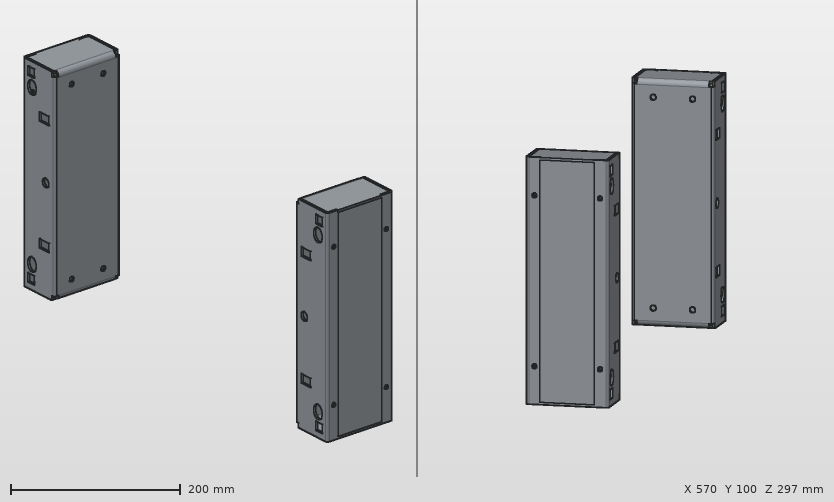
import cadquery as cq

span = 570.0
depth = 100.0
height = 297.0

width = 59.0
sheet = 3.0
side_bend = 3.5
end_bend = 7.0
seam = 0.3
lip_width = 17.0

relief_x = 5.0
relief_y = 6.0
relief_z = 6.0

lip_hole = 5.5
panel_hole = 4.0
screw_y = 40.0
screw_z = 102.5

web_hole = 7.0
web_hole_y = 24.0
web_hole_z = 126.5

square = 12.0
square_x = 15.5
square_end = 14.0
oval_width = 16.0
oval_height = 19.5
oval_x = 17.0
oval_end = 33.5
slot_width = 17.5
slot_height = 12.0
slot_x = 40.0
slot_end = 66.0
centre_hole = 12.0
centre_hole_x = 43.0

lip_x = -span / 2
web_x = lip_x + width
half_y = depth / 2
half_z = height / 2
mouth_y = half_y - lip_width
end_y = half_y - sheet - seam


def block(x_range, y_range, z_range):
    """Box between two limits along each axis."""
    (x0, x1), (y0, y1), (z0, z1) = x_range, y_range, z_range
    return cq.Workplane("XY").box(x1 - x0, y1 - y0, z1 - z0, centered=False).translate((x0, y0, z0))


def centred_block(x_range, y, z):
    """Box that reaches from -y to y and from -z to z."""
    return block(x_range, (-y, y), (-z, z))


def mirrored_copies(corner):
    """The given +Y, +Z corner solid and its copies in the other three corners."""
    pair = corner.union(corner.mirror("XZ"))
    return pair.union(pair.mirror("XY"))


def four_holes(x, y, z, diameter):
    """Cutters along X at the four points (+-y, +-z)."""
    points = [(sy * y, sz * z) for sy in (-1, 1) for sz in (-1, 1)]
    return (
        cq.Workplane("YZ", origin=(x, 0, 0))
        .pushPoints(points)
        .circle(diameter / 2)
        .extrude(2 * sheet, both=True)
    )


def folded_section():
    """Web, front and back walls and lips, bent from one sheet, with the end bends' profile at the web."""
    outside = centred_block((lip_x, web_x), half_y, half_z).edges("|Z").fillet(side_bend)
    inside = centred_block((lip_x + sheet, web_x - sheet), half_y - sheet, half_z)
    inside = inside.edges("|Z").fillet(side_bend - sheet)
    mouth = centred_block((lip_x, lip_x + sheet), mouth_y, half_z)
    profile = centred_block((lip_x, web_x), half_y, half_z).edges("|Y and >X").fillet(end_bend)
    return outside.cut(inside).cut(mouth).intersect(profile)


def end_flanges():
    """Top and bottom flanges bent from the web, notched around the lips."""
    outside = centred_block((lip_x, web_x), end_y, half_z).edges("|Y and >X").fillet(end_bend)
    inside = centred_block((lip_x, web_x - sheet), end_y, half_z - sheet)
    inside = inside.edges("|Y and >X").fillet(end_bend - sheet)
    lip_notch = block((lip_x, lip_x + sheet + seam), (mouth_y, half_y), (half_z - sheet, half_z))
    return outside.cut(inside).cut(mirrored_copies(lip_notch))


def corner_reliefs():
    corner = block(
        (web_x - relief_x, web_x),
        (half_y - relief_y, half_y),
        (half_z - relief_z, half_z),
    )
    return mirrored_copies(corner)


def wall_openings():
    """Cutters along Y through both walls."""

    def at(x, z):
        return cq.Workplane("XZ", origin=(lip_x + x, 0, z))

    profiles = [at(centre_hole_x, 0).circle(centre_hole / 2)]
    for side in (-1, 1):
        profiles += [
            at(square_x, side * (half_z - square_end)).rect(square, square),
            at(oval_x, side * (half_z - oval_end)).ellipse(oval_width / 2, oval_height / 2),
            at(slot_x, side * (half_z - slot_end)).rect(slot_width, slot_height),
        ]
    cutters = [profile.extrude(half_y, both=True).val() for profile in profiles]
    return cq.Workplane("XY").newObject([cq.Compound.makeCompound(cutters)])


def make_channel():
    channel = folded_section().union(end_flanges())
    channel = channel.cut(corner_reliefs()).cut(wall_openings())
    channel = channel.cut(four_holes(lip_x, screw_y, screw_z, lip_hole))
    return channel.cut(four_holes(web_x, web_hole_y, web_hole_z, web_hole))


def make_panel():
    """Cover panel: flush with the lips in the middle, with wings that lie behind them."""
    panel_z = half_z - sheet
    middle = centred_block((lip_x, lip_x + 2 * sheet), mouth_y, panel_z)
    wings = centred_block((lip_x + sheet, lip_x + 2 * sheet), half_y - side_bend, panel_z)
    return middle.union(wings).cut(four_holes(lip_x + sheet, screw_y, screw_z, panel_hole))


bodies = []
for body in (make_channel(), make_panel()):
    bodies += [body.val(), body.mirror("YZ").val()]

result = cq.Compound.makeCompound(bodies)